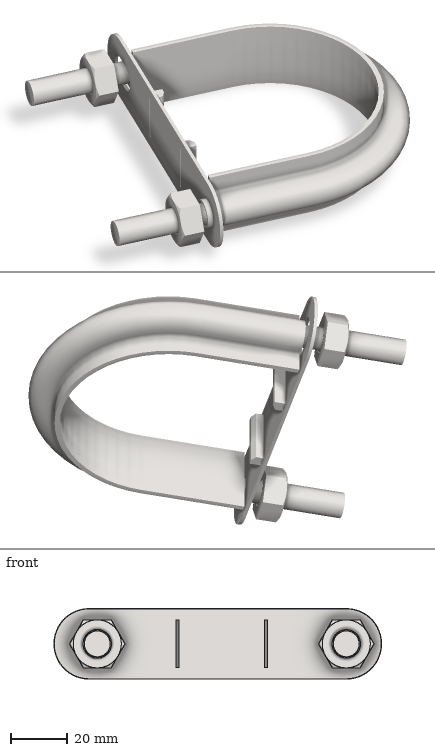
import cadquery as cq
import math


overall_length = 124.2

leg_offset = 44.1
rod_dia = 8.2
stud_dia = 9.2
stud_start_y = -44.5

channel_dia = 11.0
strip_inner_radius = 38.5
strip_thickness = 1.9
strip_width = 25.0
flare_radius = 1.2
sleeve_end_y = -37.5

plate_length = 116.0
plate_width = strip_width
plate_thickness = 1.2
plate_top_y = -38.3
slot_width = 10.0
collar_dia = 10.8
collar_height = 2.0
collar_bore_dia = stud_dia

boss_spacing = 31.4
boss_length = 20.0
boss_width = 4.1
boss_height = 4.1
boss_flat = 1.9
boss_slope_angle = 30.0
boss_groove_width = 1.0

nut_flats = 17.0
nut_height = 8.1
nut_bore_dia = 10.0
nut_top_y = stud_start_y
nut_chamfer_angle = 30.0

stud_end_y = leg_offset + channel_dia / 2 - overall_length
plate_bottom_y = plate_top_y - plate_thickness
plate_end_radius = plate_width / 2
plate_center_x = leg_offset + plate_end_radius - plate_length / 2
slot_shift = plate_length - 2 * plate_end_radius - 2 * leg_offset


def u_shape(draw_section, leg_end_y):
    """Carry a section, drawn at the +X leg, around the bend and down both legs."""
    bend = draw_section().revolve(180, (0, 0, 0), (0, 1, 0))
    leg = draw_section().extrude(-leg_end_y)
    return bend.union(leg).union(leg.mirror("YZ"))


def cylinder_along_y(x, start_y, end_y, diameter):
    base = cq.Workplane("XZ", origin=(x, start_y, 0))
    return base.circle(diameter / 2).extrude(start_y - end_y)


def rod_section():
    return cq.Workplane("XZ").moveTo(leg_offset, 0).circle(rod_dia / 2)


def make_u_bolt():
    bolt = u_shape(rod_section, stud_start_y)
    for x in (-leg_offset, leg_offset):
        bolt = bolt.union(cylinder_along_y(x, stud_start_y, stud_end_y, stud_dia))
    return bolt


def sleeve_section():
    half_channel = channel_dia / 2
    half_strip = strip_width / 2
    strip_outer_radius = strip_inner_radius + strip_thickness
    flare_start = strip_outer_radius + flare_radius
    flare_foot = half_channel + flare_radius
    return (
        cq.Workplane("XZ")
        .moveTo(strip_inner_radius, -half_strip)
        .lineTo(strip_outer_radius, -half_strip)
        .lineTo(strip_outer_radius, -flare_foot)
        .radiusArc((flare_start, -half_channel), flare_radius)
        .lineTo(leg_offset, -half_channel)
        .threePointArc((leg_offset + half_channel, 0), (leg_offset, half_channel))
        .lineTo(flare_start, half_channel)
        .radiusArc((strip_outer_radius, flare_foot), flare_radius)
        .lineTo(strip_outer_radius, half_strip)
        .lineTo(strip_inner_radius, half_strip)
        .close()
        .moveTo(leg_offset, 0)
        .circle(rod_dia / 2)
    )


def make_sleeve():
    return u_shape(sleeve_section, sleeve_end_y)


def make_boss():
    """Boss on the +X side, its top falling toward the middle of the plate."""
    outer_x = (boss_spacing + boss_width) / 2
    inner_x = outer_x - boss_width
    slope_x = outer_x - boss_flat
    top_y = plate_top_y + boss_height
    slope = math.tan(math.radians(boss_slope_angle))
    outline = [
        (outer_x, plate_top_y),
        (outer_x, top_y),
        (slope_x, top_y),
        (inner_x, top_y - slope * (slope_x - inner_x)),
        (inner_x, plate_top_y),
    ]
    return cq.Workplane("XY").polyline(outline).close().extrude(boss_length / 2, both=True)


def make_boss_groove():
    """Groove into the +X boss from below, leaving an even wall and a floor along the slope."""
    wall = (boss_width - boss_groove_width) / 2
    angle = math.radians(boss_slope_angle)
    center_x = boss_spacing / 2
    outer_x = center_x + boss_groove_width / 2
    inner_x = center_x - boss_groove_width / 2
    slope_x = center_x + boss_width / 2 - boss_flat
    floor_y = plate_top_y + boss_height - wall / math.cos(angle)
    outline = [
        (outer_x, plate_bottom_y),
        (outer_x, floor_y + (outer_x - slope_x) * math.tan(angle)),
        (inner_x, floor_y + (inner_x - slope_x) * math.tan(angle)),
        (inner_x, plate_bottom_y),
    ]
    length = boss_length - 2 * wall
    return cq.Workplane("XY").polyline(outline).close().extrude(length / 2, both=True)


def make_plate():
    plate = (
        cq.Workplane("XZ", origin=(plate_center_x, plate_top_y, 0))
        .slot2D(plate_length, plate_width)
        .extrude(plate_thickness)
    )
    collar_end_y = plate_bottom_y - collar_height
    plate = plate.union(cylinder_along_y(leg_offset, plate_top_y, collar_end_y, collar_dia))
    plate = plate.cut(cylinder_along_y(leg_offset, plate_top_y, collar_end_y, collar_bore_dia))
    slot = (
        cq.Workplane("XZ", origin=(-leg_offset, plate_top_y, 0))
        .slot2D(slot_width + 2 * slot_shift, slot_width)
        .extrude(plate_thickness)
    )
    boss = make_boss()
    groove = make_boss_groove()
    plate = plate.cut(slot).union(boss).union(boss.mirror("YZ"))
    return plate.cut(groove).cut(groove.mirror("YZ"))


def make_nut(x):
    corner_dia = nut_flats / math.cos(math.pi / 6)
    chamfer_drop = (corner_dia - nut_flats) / 2 * math.tan(math.radians(nut_chamfer_angle))
    nut = (
        cq.Workplane("XZ", origin=(x, nut_top_y, 0))
        .polygon(6, corner_dia)
        .circle(nut_bore_dia / 2)
        .extrude(nut_height)
    )
    envelope = (
        cq.Workplane("XY", origin=(x, nut_top_y, 0))
        .polyline([
            (0, 0),
            (corner_dia / 2, 0),
            (corner_dia / 2, -nut_height + chamfer_drop),
            (nut_flats / 2, -nut_height),
            (0, -nut_height),
        ])
        .close()
        .revolve(360, (0, 0, 0), (0, 1, 0))
    )
    return nut.intersect(envelope)


u_bolt = make_u_bolt()
sleeve = make_sleeve()
plate = make_plate()
nuts = [make_nut(x) for x in (-leg_offset, leg_offset)]

result = cq.Compound.makeCompound([
    u_bolt.val(),
    sleeve.val(),
    plate.val(),
    *[nut.val() for nut in nuts],
])